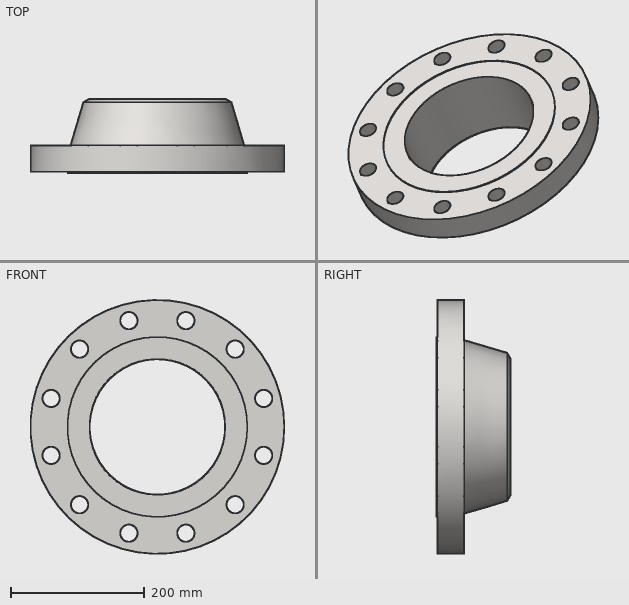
import cadquery as cq

flange_diameter = 381.0
overall_length = 111.3
bore_diameter = 202.7

flange_thickness = 40.0
raised_face_diameter = 269.7
raised_face_height = 1.5

hub_base_diameter = 260.5
hub_neck_diameter = 222.5
weld_end_diameter = 205.0
bevel_length = 5.5

bolt_count = 12
bolt_hole_diameter = 25.5
bolt_circle_diameter = 330.0
bolt_spacing_angle = 360 / bolt_count

flange_front = raised_face_height
flange_back = flange_front + flange_thickness
bevel_start = overall_length - bevel_length
taper_length = bevel_start - flange_back


def plane_at(y):
    """Plane across the part axis at y, with its normal along +Y."""
    return cq.Plane(origin=(0, y, 0), xDir=(1, 0, 0), normal=(0, 1, 0))


def disc(y, diameter, length):
    """Cylinder on the part axis, growing from y toward +Y."""
    return cq.Workplane(plane_at(y)).circle(diameter / 2).extrude(length)


def truncated_cone(y, start_diameter, end_diameter, length):
    """Truncated cone on the part axis, growing from y toward +Y."""
    cone = cq.Solid.makeCone(
        start_diameter / 2,
        end_diameter / 2,
        length,
        pnt=cq.Vector(0, y, 0),
        dir=cq.Vector(0, 1, 0),
    )
    return cq.Workplane(cone)


def make_hub():
    """Solid tapered hub with a weld bevel at its free end."""
    taper = truncated_cone(flange_back, hub_base_diameter, hub_neck_diameter, taper_length)
    bevel = truncated_cone(bevel_start, hub_neck_diameter, weld_end_diameter, bevel_length)
    return taper.union(bevel)


def make_bolt_holes():
    """Cutters for the ring of bolt holes through the flange disc."""
    return (
        cq.Workplane(plane_at(flange_front))
        .polarArray(bolt_circle_diameter / 2, bolt_spacing_angle / 2, 360, bolt_count)
        .circle(bolt_hole_diameter / 2)
        .extrude(flange_thickness)
    )


raised_face = disc(0, raised_face_diameter, raised_face_height)
flange = disc(flange_front, flange_diameter, flange_thickness)
bore = disc(0, bore_diameter, overall_length)

result = flange.union(raised_face).union(make_hub()).cut(make_bolt_holes()).cut(bore)